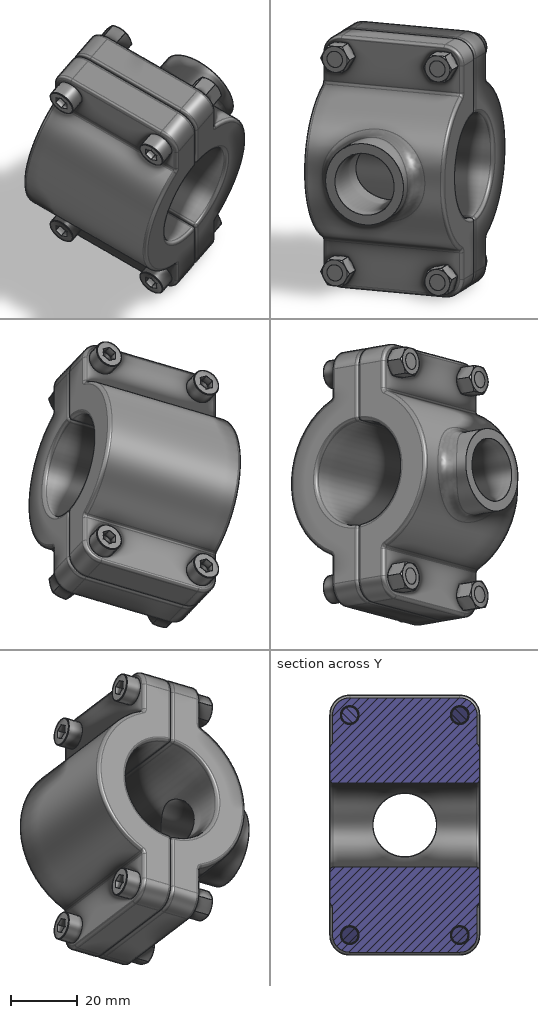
import cadquery as cq
import math

LENGTH_X = 45.0
HEIGHT_Z = 78.0
DEPTH_Y = 59.5
RING_DIAMETER = 52.0
BORE_DIAMETER = 32.0
FLANGE_THICKNESS = 10.0
CORNER_RADIUS = 6.0
EDGE_RADIUS = 1.0
NOTCH_RADIUS = 1.0

BRANCH_DIAMETER = 25.0
BRANCH_BORE_DIAMETER = 19.0
BRANCH_FILLET = 4.0

SHANK_DIAMETER = 5.0
CLEARANCE_DIAMETER = 5.5
HEAD_DIAMETER = 8.5
HEAD_HEIGHT = 4.8
HEAD_CHAMFER = 0.195
SOCKET_ACROSS_FLATS = 4.05
SOCKET_DEPTH = 2.7
SOCKET_POINT_DEPTH = 1.2
NUT_ACROSS_FLATS = 8.0
NUT_HEIGHT = 5.6
TURNED_NUT_ANGLE = 14.0
NUT_CHAMFER_ANGLE = 30.0
HEX_HALF_SECTOR = 30.0

SELECTION_MARGIN = 0.8

RING_RADIUS = RING_DIAMETER / 2
BORE_RADIUS = BORE_DIAMETER / 2
BRANCH_END_Y = DEPTH_Y - RING_RADIUS
NUT_END_Y = FLANGE_THICKNESS + NUT_HEIGHT
HEAD_END_Y = FLANGE_THICKNESS + HEAD_HEIGHT
SCREW_X = LENGTH_X / 2 - CORNER_RADIUS
SCREW_Z = HEIGHT_Z / 2 - CORNER_RADIUS
TURNED_NUT_PLACE = (-SCREW_X, -SCREW_Z)
SCREW_PLACES = [(x, z) for x in (-SCREW_X, SCREW_X) for z in (-SCREW_Z, SCREW_Z)]


def cylinder_y(diameter, start, end, x=0.0, z=0.0):
    """Cylinder along Y between two Y positions."""
    axis = cq.Vector(0, 1, 0)
    return cq.Workplane(cq.Solid.makeCylinder(diameter / 2, end - start, cq.Vector(x, start, z), axis))


def hex_prism_y(across_flats, start, end):
    """Hexagonal prism along Y with flats facing +Z and -Z."""
    across_corners = across_flats / math.cos(math.radians(HEX_HALF_SECTOR))
    prism = cq.Workplane("XZ", origin=(0, start, 0)).polygon(6, across_corners)
    return prism.extrude(start - end)


def cylinder_x(diameter):
    """Cylinder along the bore axis over the whole clamp length."""
    return cq.Workplane("YZ").circle(diameter / 2).extrude(LENGTH_X / 2, both=True)


def make_plain_half():
    """Half ring with both flanges on the +Y side, all edges rounded."""
    flange = (
        cq.Workplane("XZ")
        .rect(LENGTH_X, HEIGHT_Z)
        .extrude(-FLANGE_THICKNESS)
        .edges("|Y")
        .fillet(CORNER_RADIUS)
    )
    positive_y = cq.Workplane("XY").box(LENGTH_X, RING_RADIUS, HEIGHT_Z).translate((0, RING_RADIUS / 2, 0))
    half = cylinder_x(RING_DIAMETER).intersect(positive_y).union(flange)

    notch_z = math.sqrt(RING_RADIUS**2 - FLANGE_THICKNESS**2)
    for side in (-1, 1):
        notch = cq.selectors.NearestToPointSelector((0, FLANGE_THICKNESS, side * notch_z))
        half = half.edges(notch).fillet(NOTCH_RADIUS)

    half = half.cut(cylinder_x(BORE_DIAMETER))
    return half.faces("<X or >X or <Y").edges().fillet(EDGE_RADIUS)


def drill_screw_holes(half):
    """Clearance holes through both flanges."""
    for x, z in SCREW_PLACES:
        half = half.cut(cylinder_y(CLEARANCE_DIAMETER, -FLANGE_THICKNESS, FLANGE_THICKNESS, x, z))
    return half


def make_branch_half(plain_half):
    """+Y half with a filleted branch nozzle that opens into the bore."""
    nozzle = cylinder_y(BRANCH_DIAMETER, BORE_RADIUS + EDGE_RADIUS, BRANCH_END_Y)
    nozzle = nozzle.cut(cylinder_x(BORE_DIAMETER))
    half = plain_half.union(nozzle)
    root_y = math.sqrt(RING_RADIUS**2 - (BRANCH_DIAMETER / 2) ** 2)
    reach = BRANCH_DIAMETER / 2 + SELECTION_MARGIN
    root_zone = cq.selectors.BoxSelector(
        (-reach, root_y - SELECTION_MARGIN, -reach),
        (reach, RING_RADIUS + SELECTION_MARGIN, reach),
    )
    half = half.edges(root_zone).fillet(BRANCH_FILLET)
    half = half.cut(cylinder_y(BRANCH_BORE_DIAMETER, 0, BRANCH_END_Y))
    return drill_screw_holes(half)


def make_screw():
    """Socket head screw on the Y axis; its head bears on the -Y flange."""
    head = cylinder_y(HEAD_DIAMETER, -HEAD_END_Y, -FLANGE_THICKNESS)
    head = head.faces("<Y").edges().chamfer(HEAD_CHAMFER)
    shank = cylinder_y(SHANK_DIAMETER, -FLANGE_THICKNESS, NUT_END_Y)
    socket_floor = SOCKET_DEPTH - HEAD_END_Y
    socket = hex_prism_y(SOCKET_ACROSS_FLATS, -HEAD_END_Y, socket_floor)
    socket = socket.rotate((0, 0, 0), (0, 1, 0), HEX_HALF_SECTOR)
    point = cq.Workplane(
        cq.Solid.makeCone(
            SOCKET_ACROSS_FLATS / 2, 0, SOCKET_POINT_DEPTH, cq.Vector(0, socket_floor, 0), cq.Vector(0, 1, 0)
        )
    )
    return head.union(shank).cut(socket).cut(point)


def make_nut():
    """Hexagon nut on the Y axis with chamfered corners on both ends."""
    corner_radius = NUT_ACROSS_FLATS / 2 / math.cos(math.radians(HEX_HALF_SECTOR))
    chamfer_width = corner_radius - NUT_ACROSS_FLATS / 2
    chamfer_height = chamfer_width * math.tan(math.radians(NUT_CHAMFER_ANGLE))
    envelope = cylinder_y(2 * corner_radius, FLANGE_THICKNESS, NUT_END_Y)
    envelope = envelope.edges("%CIRCLE").chamfer(chamfer_height, chamfer_width)
    nut = hex_prism_y(NUT_ACROSS_FLATS, FLANGE_THICKNESS, NUT_END_Y).intersect(envelope)
    return nut.cut(cylinder_y(SHANK_DIAMETER, FLANGE_THICKNESS, NUT_END_Y))


plain_half = make_plain_half()
cap_half = drill_screw_holes(plain_half.mirror("XZ"))
branch_half = make_branch_half(plain_half)

screws = []
nuts = []
for x, z in SCREW_PLACES:
    screws.append(make_screw().translate((x, 0, z)))
    turn = TURNED_NUT_ANGLE if (x, z) == TURNED_NUT_PLACE else 0.0
    nuts.append(make_nut().rotate((0, 0, 0), (0, 1, 0), turn).translate((x, 0, z)))

bodies = [cap_half, branch_half, *screws, *nuts]
result = cq.Compound.makeCompound([body.solids().val() for body in bodies])